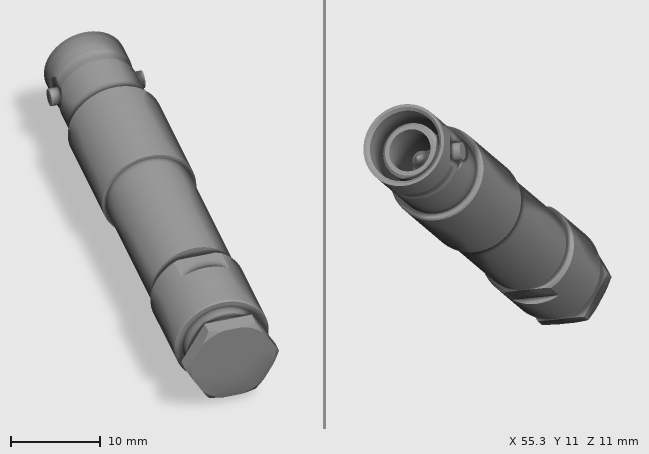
import cadquery as cq
import math

collar_start = 11.05
collar_end = 24.05
body_end = 40.6
clamp_start = 41.7
clamp_end = 51.1
ring_end = 52.25
hex_start = 53.4
overall_length = 55.25

barrel_radius = 4.75
collar_radius = 11.0 / 2
body_radius = 10.1 / 2
front_neck_radius = 3.7
clamp_radius = collar_radius
ring_radius = 4.6
rear_neck_radius = 4.1
edge_chamfer = 0.15
clamp_front_bevel = 0.3

socket_depth = 9.95
socket_radius = 4.1
socket_mouth_radius = 4.4
socket_mouth_bevel = 0.35
sleeve_tip = 2.1
sleeve_radius = 3.25
sleeve_tip_radius = 2.95
sleeve_bevel = 0.35
sleeve_bore_radius = 2.45
contact_tip = 5.0
contact_radius = 1.1
contact_shoulder_radius = 0.8
contact_shoulder_bevel = 0.3
contact_point_radius = 0.2
contact_point_length = 0.85

stud_x = 4.25
stud_radius = 1.0
stud_reach = 5.45
stud_seat_radius = 2.15
stud_seat_offset = 4.35
groove_width = 1.7
groove_depth = 0.1

flat_end = 44.8
across_flats = 2 * barrel_radius
hex_sides = 6
hex_across_corners = across_flats / math.cos(math.pi / hex_sides)
hex_face_radius = 4.85
hex_bevel_length = 0.45


def cylinder(start, end, radius):
    """Solid cylinder on the X axis."""
    return cq.Workplane("YZ", origin=(start, 0, 0)).circle(radius).extrude(end - start)


def revolve_profile(points):
    """Revolve a closed (x, radius) outline about the X axis."""
    return cq.Workplane("XY").polyline(points).close().revolve(360, (0, 0, 0), (1, 0, 0))


def make_body():
    """Solid stepped body from the socket barrel to the rear hexagon."""
    body = cylinder(0, collar_start, barrel_radius)
    body = body.union(cylinder(collar_start, collar_end, collar_radius).faces("<X").chamfer(edge_chamfer))
    body = body.union(cylinder(collar_end, body_end, body_radius))
    body = body.union(cylinder(body_end, clamp_start, front_neck_radius))
    body = body.union(make_clamp())
    body = body.union(cylinder(clamp_end, ring_end, ring_radius))
    body = body.union(cylinder(ring_end, hex_start, rear_neck_radius))
    return body.union(make_hexagon())


def make_clamp():
    """Clamp nut with two wrench flats facing +Z and -Z."""
    clamp = cylinder(clamp_start, clamp_end, clamp_radius)
    clamp = clamp.faces("<X").chamfer(clamp_front_bevel).faces(">X").chamfer(edge_chamfer)
    flat_length = flat_end - clamp_start
    jaws = (
        cq.Workplane("XY")
        .box(flat_length, 2 * clamp_radius, 2 * clamp_radius, centered=(False, True, True))
        .cut(cq.Workplane("XY").box(flat_length, 2 * clamp_radius, across_flats, centered=(False, True, True)))
    )
    return clamp.cut(jaws.translate((clamp_start, 0, 0)))


def make_hexagon():
    """Rear hexagon with corners on Y and a conical bevel on its end face."""
    hexagon = (
        cq.Workplane("YZ", origin=(hex_start, 0, 0))
        .polygon(hex_sides, hex_across_corners)
        .extrude(overall_length - hex_start)
    )
    corner_radius = hex_across_corners / 2
    bevel_envelope = revolve_profile([
        (hex_start, 0),
        (hex_start, corner_radius),
        (overall_length - hex_bevel_length, corner_radius),
        (overall_length, hex_face_radius),
        (overall_length, 0),
    ])
    return hexagon.intersect(bevel_envelope)


def make_socket():
    """Annular space around the sleeve plus the space around the contact."""
    cavity = revolve_profile([
        (0, 0),
        (0, socket_mouth_radius),
        (socket_mouth_bevel, socket_radius),
        (socket_depth, socket_radius),
        (socket_depth, 0),
    ])
    sleeve = revolve_profile([
        (sleeve_tip, sleeve_bore_radius),
        (sleeve_tip, sleeve_tip_radius),
        (sleeve_tip + sleeve_bevel, sleeve_radius),
        (socket_depth, sleeve_radius),
        (socket_depth, sleeve_bore_radius),
    ])
    return cavity.cut(sleeve).cut(make_contact())


def make_contact():
    """Solid central contact with a bevelled shoulder and a blunt conical point."""
    shoulder = contact_tip + contact_point_length
    return revolve_profile([
        (contact_tip, 0),
        (contact_tip, contact_point_radius),
        (shoulder, contact_shoulder_radius),
        (shoulder + contact_shoulder_bevel, contact_radius),
        (socket_depth, contact_radius),
        (socket_depth, 0),
    ])


def make_groove():
    """Shallow rounded groove around the barrel at the studs."""
    return (
        cq.Workplane("XY")
        .moveTo(stud_x - groove_width / 2, barrel_radius)
        .threePointArc((stud_x, barrel_radius - groove_depth), (stud_x + groove_width / 2, barrel_radius))
        .close()
        .revolve(360, (0, 0, 0), (1, 0, 0))
    )


def add_stud(part, side):
    """Sink a flat round seat on one Y side and stand a stud on it."""
    plane = cq.Plane(origin=(stud_x, side * stud_seat_offset, 0), xDir=(1, 0, 0), normal=(0, side, 0))
    height = stud_reach - stud_seat_offset
    seat = cq.Workplane(plane).circle(stud_seat_radius).extrude(height)
    stud = cq.Workplane(plane).circle(stud_radius).extrude(height)
    return part.cut(seat).union(stud)


result = make_body().cut(make_socket()).cut(make_groove())
for side in (-1, 1):
    result = add_stud(result, side)